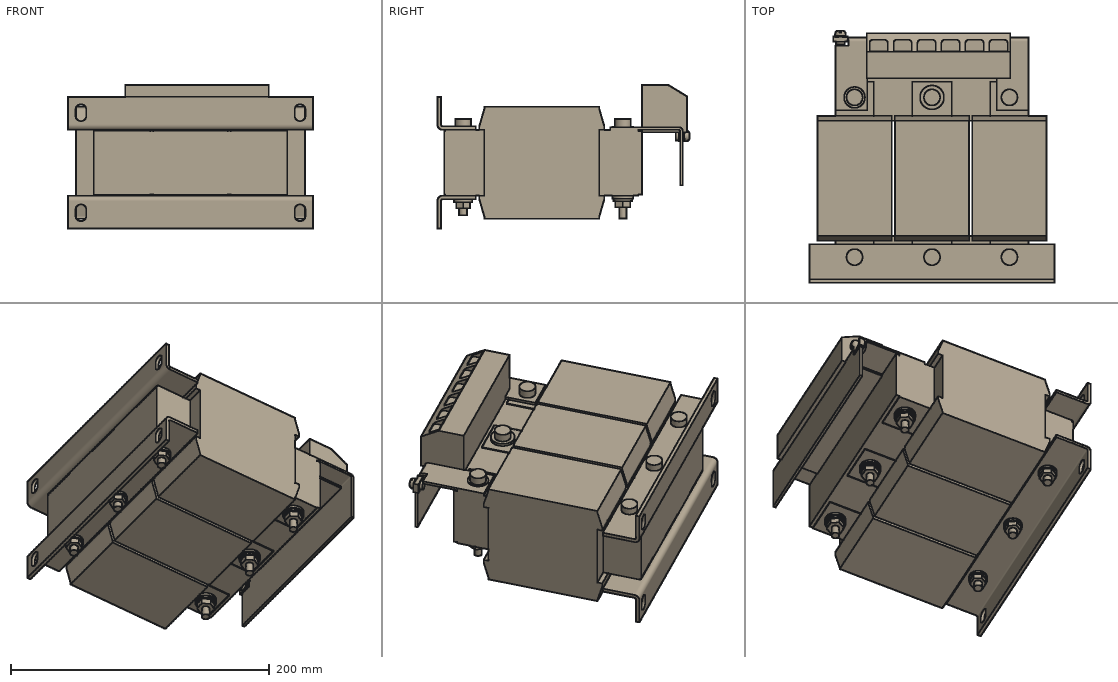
import cadquery as cq
import math


coil_pitch = 60.0
coil_width = 57.6
coil_half_length = 44.5
coil_half_height = 43.4
coil_flare_half_length = 48.5
coil_flare_top = 28.3
coil_slope_top = 41.8
coil_centres = [-coil_pitch, 0, coil_pitch]

yoke_half_width = 74.8
yoke_half_height = 24.6
front_yoke_end = -75.6
rear_yoke_end = 77.8
tab_surface = 25.4
tab_end = 74.8
middle_tab_width = 30.3
outer_tab_width = 29.7

angle_length = 190.0
angle_half_height = 51.0
angle_thickness = 3.0
angle_bend_radius = 4.1
angle_front = -80.9
angle_rear = -51.0
slot_spacing = 169.6
slot_length = 12.9
slot_width = 8.2
slot_height = 38.7

plate_thickness = 2.1
plate_top = tab_surface + plate_thickness
plate_bend_radius = 3.1
plate_rear = 109.2
plate_bottom = -17.5
leg_width = 24.8
leg_front = 53.0
notch_width = 10.2
notch_front = 102.8
notch_bottom = 22.5

block_count = 6
block_width = 18.5
block_row_centre = 5.0
block_front = 77.5
block_rear = 112.5
block_bottom = 23.5
block_top = 60.4
block_slope_start = 97.9
block_slope_drop = 9.0
pocket_width = 14.0
pocket_front = 98.5
pocket_rear = 107.3
pocket_floor = 53.7
pocket_corner_radius = 2.3

head_diameter = 12.5
head_top = 34.0
front_bolt_y = -61.0
front_shank_diameter = 6.5
front_bolt_end = -40.8
front_washers = [(14.3, 2.3)]
front_nut_flats = 11.0
front_nut_height = 4.7
rear_bolt_y = 62.7
rear_shank_diameter = 5.9
rear_bolt_end = -43.2
rear_washers = [(16.5, 2.3), (14.7, 2.0)]
rear_nut_flats = 11.7
rear_nut_height = 4.9
middle_washer_diameter = 18.5
left_washer_diameter = 16.2
left_washer_thickness = 0.2

screw_x = -71.0
screw_z = 20.7
screw_tip = 103.5
screw_head_base = 110.4
screw_head_height = 4.1
screw_head_diameter = 8.4
screw_dome_radius = 2.7
screw_slot_width = 1.2
screw_slot_depth = 1.5
screw_shank_diameter = 4.0
screw_nut_diameter = 7.0
clamp_width = 11.3
clamp_height = 8.2
clamp_front = 106.0
clamp_rear = 109.6
clamp_lip_width = 1.5
clamp_lip_rise = 0.5


def box(x_range, y_range, z_range):
    """Axis-aligned box between the given limits."""
    size = [high - low for low, high in (x_range, y_range, z_range)]
    corner = (x_range[0], y_range[0], z_range[0])
    return cq.Workplane("XY").box(*size, centered=False).translate(corner)


def cylinder(x, y, z_low, z_high, diameter):
    """Upright cylinder between two heights."""
    return cq.Workplane("XY", origin=(x, y, z_low)).circle(diameter / 2).extrude(z_high - z_low)


def extrude_along_x(points, x_centre, width):
    """Extrude a closed (Y, Z) outline, centred on x_centre."""
    outline = cq.Workplane("YZ", origin=(x_centre, 0, 0)).polyline(points).close()
    return outline.extrude(width / 2, both=True)


def mirror_vertical(body):
    """The body together with its image below the XY plane."""
    return body.union(body.mirror("XY"))


def coil(x_centre):
    upper_right = [
        (coil_half_length, tab_surface),
        (coil_flare_half_length, tab_surface),
        (coil_flare_half_length, coil_flare_top),
        (coil_half_length, coil_slope_top),
        (coil_half_length, coil_half_height),
    ]
    upper_left = [(-y, z) for y, z in reversed(upper_right)]
    lower_left = [(-y, -z) for y, z in upper_right]
    lower_right = [(y, -z) for y, z in reversed(upper_right)]
    return extrude_along_x(upper_right + upper_left + lower_left + lower_right, x_centre, coil_width)


def core():
    x_range = (-yoke_half_width, yoke_half_width)
    z_range = (-yoke_half_height, yoke_half_height)
    front_yoke = box(x_range, (front_yoke_end, -coil_half_length), z_range)
    rear_yoke = box(x_range, (coil_half_length, rear_yoke_end), z_range)
    body = front_yoke.union(rear_yoke)
    tab_x_ranges = [
        (-yoke_half_width, -yoke_half_width + outer_tab_width),
        (-middle_tab_width / 2, middle_tab_width / 2),
        (yoke_half_width - outer_tab_width, yoke_half_width),
    ]
    for tab_x_range in tab_x_ranges:
        for y_range in [(-tab_end, -coil_half_length), (coil_half_length, tab_end)]:
            tab = box(tab_x_range, y_range, (yoke_half_height, tab_surface))
            body = body.union(mirror_vertical(tab))
    return body


def mounting_angle():
    """Upper angle: a flat on the front yoke with its flange turned up."""
    x_range = (-angle_length / 2, angle_length / 2)
    outside = box(x_range, (angle_front, angle_rear), (tab_surface, angle_half_height))
    outside = outside.edges("|X and <Y and <Z").fillet(angle_bend_radius)
    inside = box(
        x_range,
        (angle_front + angle_thickness, angle_rear),
        (tab_surface + angle_thickness, angle_half_height),
    )
    inside = inside.edges("|X and <Y and <Z").fillet(angle_bend_radius - angle_thickness)
    slots = (
        cq.Workplane("XZ", origin=(0, angle_front, slot_height))
        .rarray(slot_spacing, 2, 2, 1)
        .slot2D(slot_length, slot_width, 90)
        .extrude(-angle_thickness)
    )
    return outside.cut(inside).cut(slots)


def terminal_plate():
    """Plate with two legs on the rear yoke and its rear flange turned down."""
    x_range = (-yoke_half_width, yoke_half_width)
    outside = box(x_range, (leg_front, plate_rear), (plate_bottom, plate_top))
    outside = outside.edges("|X and >Y and >Z").fillet(plate_bend_radius)
    inside = box(x_range, (leg_front, plate_rear - plate_thickness), (plate_bottom, tab_surface))
    inside = inside.edges("|X and >Y and >Z").fillet(plate_bend_radius - plate_thickness)
    leg_inner_x = yoke_half_width - leg_width
    leg_gap = box((-leg_inner_x, leg_inner_x), (leg_front, rear_yoke_end), (tab_surface, plate_top))
    notch = box(
        (-yoke_half_width, -yoke_half_width + notch_width),
        (notch_front, plate_rear),
        (notch_bottom, plate_top),
    )
    return outside.cut(inside).cut(leg_gap).cut(notch)


def terminal_block(x_centre):
    outline = [
        (block_front, block_bottom),
        (block_rear, block_bottom),
        (block_rear, block_top - block_slope_drop),
        (block_slope_start, block_top),
        (block_front, block_top),
    ]
    pocket = box(
        (x_centre - pocket_width / 2, x_centre + pocket_width / 2),
        (pocket_front, pocket_rear),
        (pocket_floor, block_top),
    )
    pocket = pocket.edges("|Z and >Y").fillet(pocket_corner_radius)
    return extrude_along_x(outline, x_centre, block_width).cut(pocket)


def terminal_row():
    first_x = block_row_centre - block_width * (block_count - 1) / 2
    row = terminal_block(first_x)
    for index in range(1, block_count):
        row = row.union(terminal_block(first_x + index * block_width))
    return row


def bolt_shaft(x, y, shank_diameter, end):
    """Round bolt head on its shank, which reaches down to the given end height."""
    head = cylinder(x, y, tab_surface, head_top, head_diameter)
    return head.union(cylinder(x, y, end, tab_surface, shank_diameter))


def washers_and_nut(x, y, seat, washers, nut_flats, nut_height):
    """Washers stacked downwards from the seat height, with a hexagon nut under them."""
    nut_top = seat - sum(thickness for _, thickness in washers)
    nut_corners = nut_flats / math.cos(math.pi / 6)
    stack = cq.Workplane("XY", origin=(x, y, nut_top)).polygon(6, nut_corners).extrude(-nut_height)
    level = seat
    for diameter, thickness in washers:
        stack = stack.union(cylinder(x, y, level - thickness, level, diameter))
        level -= thickness
    return stack


def core_bolts():
    angle_underside = -tab_surface - angle_thickness
    left_washer_top = plate_top + left_washer_thickness
    body = cylinder(0, rear_bolt_y, tab_surface, plate_top, middle_washer_diameter)
    body = body.union(
        cylinder(-coil_pitch, rear_bolt_y, plate_top, left_washer_top, left_washer_diameter)
    )
    for x in coil_centres:
        body = body.union(bolt_shaft(x, front_bolt_y, front_shank_diameter, front_bolt_end))
        body = body.union(washers_and_nut(
            x, front_bolt_y, angle_underside, front_washers, front_nut_flats, front_nut_height
        ))
        body = body.union(bolt_shaft(x, rear_bolt_y, rear_shank_diameter, rear_bolt_end))
        body = body.union(washers_and_nut(
            x, rear_bolt_y, -tab_surface, rear_washers, rear_nut_flats, rear_nut_height
        ))
    return body


def earth_screw():
    """Slotted pan-head screw through a clamp, with its nut behind the plate flange."""
    def round_part(y_low, y_high, diameter):
        plane = cq.Workplane("XZ", origin=(screw_x, y_low, screw_z))
        return plane.circle(diameter / 2).extrude(y_low - y_high)

    screw_end = screw_head_base + screw_head_height
    head = round_part(screw_head_base, screw_end, screw_head_diameter)
    head = head.faces(">Y").edges().fillet(screw_dome_radius)
    head_radius = screw_head_diameter / 2
    head = head.cut(box(
        (screw_x - screw_slot_width / 2, screw_x + screw_slot_width / 2),
        (screw_end - screw_slot_depth, screw_end),
        (screw_z - head_radius, screw_z + head_radius),
    ))
    shank = round_part(screw_tip, screw_head_base, screw_shank_diameter)
    nut = round_part(screw_tip, clamp_front, screw_nut_diameter)
    clamp_left = screw_x - clamp_width / 2
    clamp_right = screw_x + clamp_width / 2
    z_range = (screw_z - clamp_height / 2, screw_z + clamp_height / 2)
    clamp = box((clamp_left, clamp_right), (clamp_front, clamp_rear), z_range)
    for lip_left in [clamp_left, clamp_right - clamp_lip_width]:
        lip_y_range = (clamp_front, clamp_rear + clamp_lip_rise)
        clamp = clamp.union(box((lip_left, lip_left + clamp_lip_width), lip_y_range, z_range))
    return head.union(shank).union(nut).union(clamp)


result = core()
for coil_x in coil_centres:
    result = result.union(coil(coil_x))
result = result.union(mirror_vertical(mounting_angle()))
result = result.union(terminal_plate())
result = result.union(terminal_row())
result = result.union(core_bolts())
result = result.union(earth_screw())